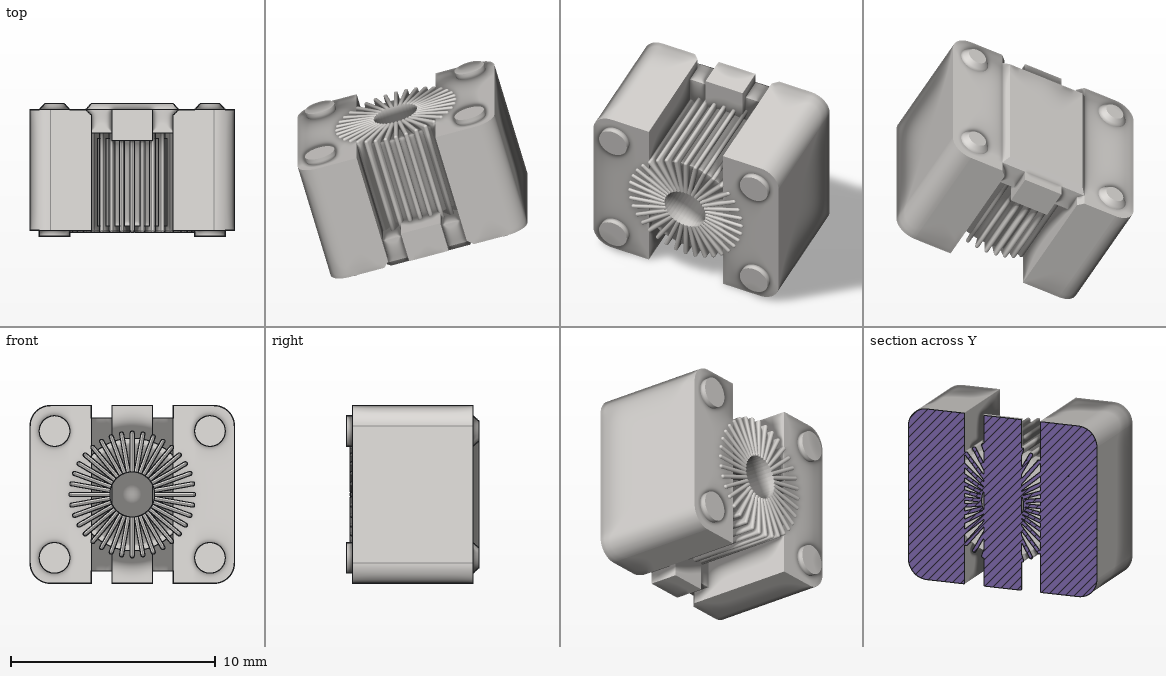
import cadquery as cq
import math

WIDTH = 10.0
HEIGHT = 8.7
DEPTH = 5.9
CORNER_RADIUS = 1.0
CHANNEL_WIDTH = 4.0
CHANNEL_CHAMFER = 0.27
FRONT = -DEPTH / 2
BACK = DEPTH / 2

PLATE_HEIGHT = 7.5
PLATE_THICKNESS = 1.15
PROTRUSION = 0.3
PAD_BEVEL = 0.27

BLOCK_WIDTH = 2.0
BLOCK_THICKNESS = 1.5

FOOT_DIAMETER = 1.5
FOOT_SPACING_X = 7.6
FOOT_SPACING_Z = 6.2
STUD_BASE_DIAMETER = 1.5
STUD_TIP_DIAMETER = 0.94

CORE_RADIUS = 2.75
CORE_LENGTH = 4.28
CORE_RECESS = 0.2
CORE_FRONT = FRONT + CORE_RECESS
CORE_BACK = CORE_FRONT + CORE_LENGTH
WINDING_COUNT = 36
WINDING_THICKNESS = 0.2
WINDING_EDGE_RADIUS = 0.099
WINDING_OUTER_RADIUS = 3.1
WINDING_INNER_RADIUS = 1.1
WINDING_END_OVERHANG = 0.32
CORE_BORE_RADIUS = WINDING_INNER_RADIUS + WINDING_OUTER_RADIUS - CORE_RADIUS


def box_between(x_size, y_start, y_end, z_size):
    """Box centred on X and Z, reaching from y_start to y_end."""
    box = cq.Workplane("XY").box(x_size, y_end - y_start, z_size)
    return box.translate((0, (y_start + y_end) / 2, 0))


def plane_facing_back(y):
    """Workplane at the given Y with its normal along +Y and its local y along -Z."""
    return cq.Workplane(cq.Plane(origin=(0, y, 0), xDir=(1, 0, 0), normal=(0, 1, 0)))


def channel_fill(height):
    """Channel cross-section, widened by its back chamfers, extruded to a height."""
    half = CHANNEL_WIDTH / 2
    wide = half + CHANNEL_CHAMFER
    section = cq.Workplane("XY").polyline([
        (-half, FRONT),
        (half, FRONT),
        (half, BACK - CHANNEL_CHAMFER),
        (wide, BACK),
        (-wide, BACK),
        (-half, BACK - CHANNEL_CHAMFER),
    ]).close()
    return section.extrude(height / 2, both=True)


def make_legs():
    body = box_between(WIDTH, FRONT, BACK, HEIGHT).edges("|Y").fillet(CORNER_RADIUS)
    return body.cut(channel_fill(HEIGHT))


def make_plate():
    slab = box_between(WIDTH, BACK - PLATE_THICKNESS, BACK, PLATE_HEIGHT)
    plate = channel_fill(PLATE_HEIGHT).intersect(slab)
    pad_width = CHANNEL_WIDTH + 2 * CHANNEL_CHAMFER
    pad = (
        plane_facing_back(BACK)
        .rect(pad_width, PLATE_HEIGHT)
        .workplane(offset=PROTRUSION)
        .rect(pad_width - 2 * PAD_BEVEL, PLATE_HEIGHT - 2 * PAD_BEVEL)
        .loft()
    )
    return plate.union(pad)


def make_block():
    return box_between(BLOCK_WIDTH, BACK - BLOCK_THICKNESS, BACK, HEIGHT)


def make_feet():
    feet = plane_facing_back(FRONT - PROTRUSION).rarray(FOOT_SPACING_X, FOOT_SPACING_Z, 2, 2)
    return feet.circle(FOOT_DIAMETER / 2).extrude(PROTRUSION)


def make_studs():
    taper = math.degrees(math.atan((STUD_BASE_DIAMETER - STUD_TIP_DIAMETER) / 2 / PROTRUSION))
    studs = plane_facing_back(BACK).rarray(FOOT_SPACING_X, FOOT_SPACING_Z, 2, 2)
    return studs.circle(STUD_BASE_DIAMETER / 2).extrude(PROTRUSION, taper=taper)


def make_core():
    core = plane_facing_back(CORE_FRONT).circle(CORE_RADIUS).circle(CORE_BORE_RADIUS)
    return core.extrude(CORE_LENGTH)


def make_winding():
    """One radial winding: a flat plate along +X, rounded on its outer and front edges."""
    front = CORE_FRONT - WINDING_END_OVERHANG
    back = CORE_BACK + WINDING_END_OVERHANG
    plate = (
        cq.Workplane("XY")
        .moveTo(WINDING_INNER_RADIUS, front)
        .lineTo(WINDING_OUTER_RADIUS, front)
        .lineTo(WINDING_OUTER_RADIUS, back)
        .lineTo(WINDING_INNER_RADIUS, back)
        .close()
        .extrude(WINDING_THICKNESS / 2, both=True)
    )
    outer_edges = "(>X and |Y)"
    front_edges = "(<Y and |X)"
    corner_edge = "(>X and <Y)"
    return plate.edges(f"{outer_edges} or {front_edges} or {corner_edge}").fillet(WINDING_EDGE_RADIUS)


def make_windings():
    winding = make_winding()
    step = 360 / WINDING_COUNT
    return [winding.rotate((0, 0, 0), (0, 1, 0), i * step).val() for i in range(WINDING_COUNT)]


housing = make_legs().union(make_plate()).union(make_block())
housing = housing.union(make_feet()).union(make_studs())
coil = cq.Workplane(make_core().val().fuse(*make_windings()))
result = cq.Workplane(housing.union(coil).solids().val())